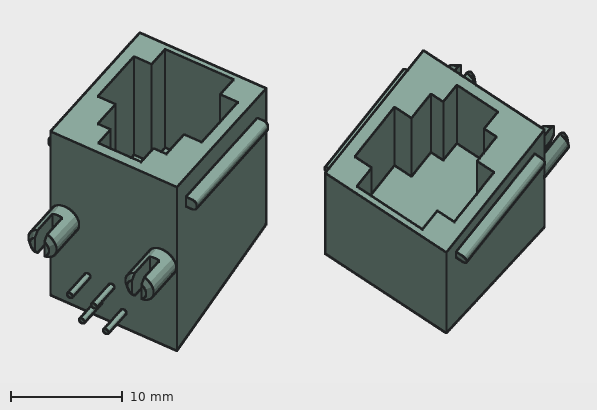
import cadquery as cq

HOUSING_WIDTH = 13.4
HOUSING_DEPTH = 15.0
HOUSING_HEIGHT = 20.5
BACK_BOTTOM_Z = 3.48

POCKET_DEPTH = 12.3
MAIN_WIDTH = 7.25
MAIN_FRONT = 3.1
MAIN_BACK = 14.41
WIDE_WIDTH = 11.0
WIDE_FRONT = 6.07
WIDE_BACK = 12.14
LATCH_WIDTH = 4.53
LATCH_FRONT = 1.02

OVERALL_WIDTH = 15.7
RIB_LENGTH = 12.0
RIB_THICKNESS = 1.2
RIB_EDGE_RADIUS = 0.5
RIB_TOP_GAP = 2.45
RIB_CENTRE_Z = HOUSING_HEIGHT - RIB_TOP_GAP - RIB_THICKNESS / 2

OVERALL_DEPTH = 19.3
POST_DIAMETER = 3.0
POST_LENGTH = OVERALL_DEPTH - HOUSING_DEPTH
POST_SPACING = 10.3
POST_Z = 10.4
POST_CHAMFER = 0.5
SLOT_WIDTH = 1.0
SLOT_DEPTH = 3.0

PIN_COUNT = 4
PIN_DIAMETER = 0.6
PIN_LENGTH = 3.0
PIN_PITCH = 1.27
FIRST_PIN_X = -2.75
UPPER_ROW_Z = 4.5
LOWER_ROW_Z = 1.97


def make_block():
    """Box with a sloping underside."""
    profile = [
        (0, 0),
        (HOUSING_DEPTH, BACK_BOTTOM_Z),
        (HOUSING_DEPTH, HOUSING_HEIGHT),
        (0, HOUSING_HEIGHT),
    ]
    return cq.Workplane("YZ").polyline(profile).close().extrude(HOUSING_WIDTH / 2, both=True)


def pocket_section(width, front, back):
    """Rectangular part of the plug opening, cut down from the top."""
    return (
        cq.Workplane("XY", origin=(0, (front + back) / 2, HOUSING_HEIGHT))
        .rect(width, back - front)
        .extrude(-POCKET_DEPTH)
    )


def make_pocket():
    """Stepped plug opening with a latch channel at the front."""
    return (
        pocket_section(MAIN_WIDTH, MAIN_FRONT, MAIN_BACK)
        .union(pocket_section(WIDE_WIDTH, WIDE_FRONT, WIDE_BACK))
        .union(pocket_section(LATCH_WIDTH, LATCH_FRONT, MAIN_BACK))
    )


def make_ribs():
    """Bar through the block whose two rounded ends form the side ribs."""
    return (
        cq.Workplane("XY", origin=(0, HOUSING_DEPTH / 2, RIB_CENTRE_Z))
        .box(OVERALL_WIDTH, RIB_LENGTH, RIB_THICKNESS)
        .edges("|Y")
        .fillet(RIB_EDGE_RADIUS)
    )


def make_post(x):
    """Mounting post with a chamfered tip and a slot across its free end."""
    post = (
        cq.Workplane("XZ", origin=(x, 0, POST_Z))
        .circle(POST_DIAMETER / 2)
        .extrude(POST_LENGTH)
        .faces("<Y")
        .chamfer(POST_CHAMFER)
    )
    slot = cq.Workplane("XY", origin=(x, SLOT_DEPTH / 2 - POST_LENGTH, POST_Z)).box(
        SLOT_WIDTH, SLOT_DEPTH, POST_DIAMETER
    )
    return post.cut(slot)


def make_housing():
    """Block with ribs, plug opening and two mounting posts."""
    housing = make_block().union(make_ribs()).cut(make_pocket())
    for side in (-1, 1):
        housing = housing.union(make_post(side * POST_SPACING / 2))
    return housing


def make_pin(x, z):
    """Round contact pin standing on the mounting face."""
    return cq.Workplane("XZ", origin=(x, 0, z)).circle(PIN_DIAMETER / 2).extrude(PIN_LENGTH)


housing = make_housing()

pins = []
for index in range(PIN_COUNT):
    row_z = UPPER_ROW_Z if index % 2 == 0 else LOWER_ROW_Z
    pins.append(make_pin(FIRST_PIN_X + index * PIN_PITCH, row_z))

result = cq.Compound.makeCompound([housing.solids().val(), *[pin.val() for pin in pins]])